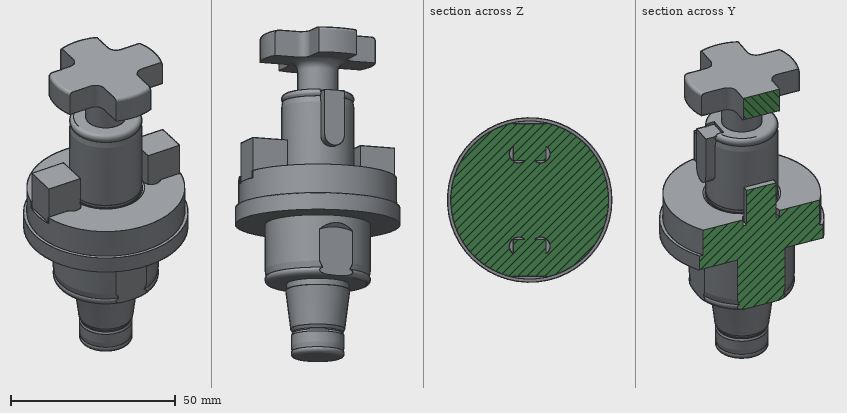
import cadquery as cq


NOSE_RING_TOP = 1.8
NOSE_LEAD_TOP = 3.3
NOSE_TOP = 6.6
GROOVE_FLOOR_BOTTOM = 7.3
GROOVE_FLOOR_TOP = 7.7
TAPER_BOTTOM = 8.7
TAPER_TOP = 20.7
COLLAR_BOTTOM = 22.6
FLANGE_BOTTOM = 41.0
DISC_BOTTOM = 46.1
DISC_TOP = 55.1
SLEEVE_TOP = 81.1

NOSE_RADIUS = 16.0 / 2
GROOVE_RADIUS = 15.3 / 2
TAPER_BOTTOM_RADIUS = 16.4 / 2
TAPER_TOP_RADIUS = 19.5 / 2
NECK_RADIUS = 19.0 / 2
COLLAR_RADIUS = 32.0 / 2
FLANGE_RADIUS = 50.0 / 2
DISC_RADIUS = 48.0 / 2
SLEEVE_RADIUS = 22.0 / 2

RING_HEIGHT = 2.3
RING_MIDDLE = 1.3
RING_END_INSET = 1.2
WAIST_INSET = 0.3
WAIST_END = 4.2

NOSE_END_INSET = 0.9
NOSE_WAIST_INSET = 0.2

UNDERCUT_DEPTH = 0.2
UNDERCUT_WIDTH = 0.8

FLAT_DISTANCE = 15.0
FLAT_ARC_RADIUS = 15.0
FLAT_FLARE_SLOPE = 1.25

BLOCK_WIDTH = 10.0
BLOCK_INNER = 12.0
BLOCK_OUTER = 23.2
BLOCK_TOP = 65.4
SLOT_FLOOR = DISC_TOP - 2.2
RELIEF_RADIUS = 2.8
RELIEF_X = 3.4
RELIEF_Y = 14.1

KEY_WIDTH = 6.4
KEY_OUTER = 13.7
KEY_INNER = 7.7
KEY_TOP = 80.2
KEY_BOTTOM = 63.2

KNOB_TOP = 99.0
HEAD_BOTTOM = KNOB_TOP - 7.9
HEAD_RADIUS = 35.0 / 2
ARM_WIDTH = 12.3
SHANK_RADIUS = ARM_WIDTH / 2
ARM_CORNER_RADIUS = 3.0
HEAD_EDGE_RADIUS = 1.2
SHANK_FILLET = 2.8


def revolve_about_z(profile):
    """Close a radius-height profile along the axis and turn it."""
    return profile.close().revolve(360, (0, 0), (0, 1))


def make_turned_arbor():
    profile = (
        cq.Workplane("XZ")
        .lineTo(NOSE_RADIUS - NOSE_END_INSET, 0)
        .threePointArc(
            (NOSE_RADIUS, NOSE_RING_TOP / 2),
            (NOSE_RADIUS - NOSE_WAIST_INSET, NOSE_RING_TOP),
        )
        .lineTo(NOSE_RADIUS, NOSE_LEAD_TOP)
        .lineTo(NOSE_RADIUS, NOSE_TOP)
        .lineTo(GROOVE_RADIUS, GROOVE_FLOOR_BOTTOM)
        .lineTo(GROOVE_RADIUS, GROOVE_FLOOR_TOP)
        .lineTo(TAPER_BOTTOM_RADIUS, TAPER_BOTTOM)
        .lineTo(TAPER_TOP_RADIUS, TAPER_TOP)
        .lineTo(NECK_RADIUS, TAPER_TOP)
        .lineTo(NECK_RADIUS, COLLAR_BOTTOM)
        .lineTo(COLLAR_RADIUS - RING_END_INSET, COLLAR_BOTTOM)
        .threePointArc(
            (COLLAR_RADIUS, COLLAR_BOTTOM + RING_MIDDLE),
            (COLLAR_RADIUS - WAIST_INSET, COLLAR_BOTTOM + RING_HEIGHT),
        )
        .lineTo(COLLAR_RADIUS, COLLAR_BOTTOM + WAIST_END)
        .lineTo(COLLAR_RADIUS, FLANGE_BOTTOM)
        .lineTo(FLANGE_RADIUS, FLANGE_BOTTOM)
        .lineTo(FLANGE_RADIUS, DISC_BOTTOM)
        .lineTo(DISC_RADIUS, DISC_BOTTOM)
        .lineTo(DISC_RADIUS, DISC_TOP)
        .lineTo(SLEEVE_RADIUS + UNDERCUT_WIDTH, DISC_TOP)
        .lineTo(SLEEVE_RADIUS + UNDERCUT_DEPTH, DISC_TOP - UNDERCUT_DEPTH)
        .lineTo(SLEEVE_RADIUS - UNDERCUT_DEPTH, DISC_TOP - UNDERCUT_DEPTH)
        .lineTo(SLEEVE_RADIUS - UNDERCUT_DEPTH, DISC_TOP + UNDERCUT_WIDTH - UNDERCUT_DEPTH)
        .lineTo(SLEEVE_RADIUS, DISC_TOP + UNDERCUT_WIDTH)
        .lineTo(SLEEVE_RADIUS, SLEEVE_TOP - WAIST_END)
        .lineTo(SLEEVE_RADIUS - WAIST_INSET, SLEEVE_TOP - RING_HEIGHT)
        .threePointArc(
            (SLEEVE_RADIUS, SLEEVE_TOP - RING_MIDDLE),
            (SLEEVE_RADIUS - RING_END_INSET, SLEEVE_TOP),
        )
        .lineTo(0, SLEEVE_TOP)
    )
    return revolve_about_z(profile)


def make_flat_cutter(side):
    """Cone along X whose small end leaves a flat with a round, sloping upper end."""
    length = FLANGE_RADIUS - COLLAR_RADIUS
    cone = cq.Solid.makeCone(
        FLAT_ARC_RADIUS,
        FLAT_ARC_RADIUS + FLAT_FLARE_SLOPE * length,
        length,
        cq.Vector(side * FLAT_DISTANCE, 0, COLLAR_BOTTOM),
        cq.Vector(side, 0, 0),
    )
    under_flange = cq.Workplane("XY", origin=(0, 0, COLLAR_BOTTOM)).circle(FLANGE_RADIUS)
    return under_flange.extrude(FLANGE_BOTTOM - COLLAR_BOTTOM).intersect(cq.Workplane(cone))


def make_radial_bar(side, outer, top):
    """Bar as wide as a drive block, from the slot floor to a given height."""
    return (
        cq.Workplane("XY", origin=(0, side * (BLOCK_INNER + outer) / 2, SLOT_FLOOR))
        .rect(BLOCK_WIDTH, outer - BLOCK_INNER)
        .extrude(top - SLOT_FLOOR)
    )


def make_slot_reliefs(side):
    """Round pockets that bulge out of both side walls near the slot's inner end."""
    return (
        cq.Workplane("XY", origin=(0, 0, SLOT_FLOOR))
        .pushPoints([(RELIEF_X, side * RELIEF_Y), (-RELIEF_X, side * RELIEF_Y)])
        .circle(RELIEF_RADIUS)
        .extrude(DISC_TOP - SLOT_FLOOR)
    )


def make_key(top):
    """Key with a round lower end, pointing to -X and reaching up to a given height."""
    half_width = KEY_WIDTH / 2
    arc_center = KEY_BOTTOM + half_width
    return (
        cq.Workplane("YZ", origin=(-KEY_OUTER, 0, 0))
        .moveTo(-half_width, top)
        .lineTo(-half_width, arc_center)
        .threePointArc((0, KEY_BOTTOM), (half_width, arc_center))
        .lineTo(half_width, top)
        .close()
        .extrude(KEY_OUTER - KEY_INNER)
    )


def make_arbor():
    body = make_turned_arbor()
    for side in (1, -1):
        body = body.cut(make_flat_cutter(side))
        body = body.cut(make_radial_bar(side, FLANGE_RADIUS, DISC_TOP))
        body = body.cut(make_slot_reliefs(side))
        body = body.union(make_radial_bar(side, BLOCK_OUTER, BLOCK_TOP))
    return body.cut(make_key(SLEEVE_TOP)).union(make_key(KEY_TOP))


def make_knob_shank():
    """Round shank standing on the sleeve, flaring into the head."""
    profile = (
        cq.Workplane("XZ")
        .moveTo(0, SLEEVE_TOP)
        .lineTo(SHANK_RADIUS, SLEEVE_TOP)
        .lineTo(SHANK_RADIUS, HEAD_BOTTOM - SHANK_FILLET)
        .radiusArc((SHANK_RADIUS + SHANK_FILLET, HEAD_BOTTOM), SHANK_FILLET)
        .lineTo(0, HEAD_BOTTOM)
    )
    return revolve_about_z(profile)


def make_knob_head():
    """Round head with a rounded top edge, trimmed to a cross with filleted inner corners."""
    thickness = KNOB_TOP - HEAD_BOTTOM
    base = cq.Workplane("XY", origin=(0, 0, HEAD_BOTTOM))
    disc = base.circle(HEAD_RADIUS).extrude(thickness).faces(">Z").edges().fillet(HEAD_EDGE_RADIUS)

    arm_length = 2 * FLANGE_RADIUS
    arm_x = base.rect(arm_length, ARM_WIDTH).extrude(thickness)
    arm_y = base.rect(ARM_WIDTH, arm_length).extrude(thickness)
    inner_corners = cq.selectors.BoxSelector(
        (-ARM_WIDTH, -ARM_WIDTH, HEAD_BOTTOM), (ARM_WIDTH, ARM_WIDTH, KNOB_TOP)
    )
    cross = arm_x.union(arm_y).edges("|Z").edges(inner_corners).fillet(ARM_CORNER_RADIUS)
    return disc.intersect(cross)


def make_knob():
    return make_knob_shank().union(make_knob_head())


arbor = make_arbor()
knob = make_knob()
result = cq.Compound.makeCompound([arbor.solids().val(), knob.solids().val()])